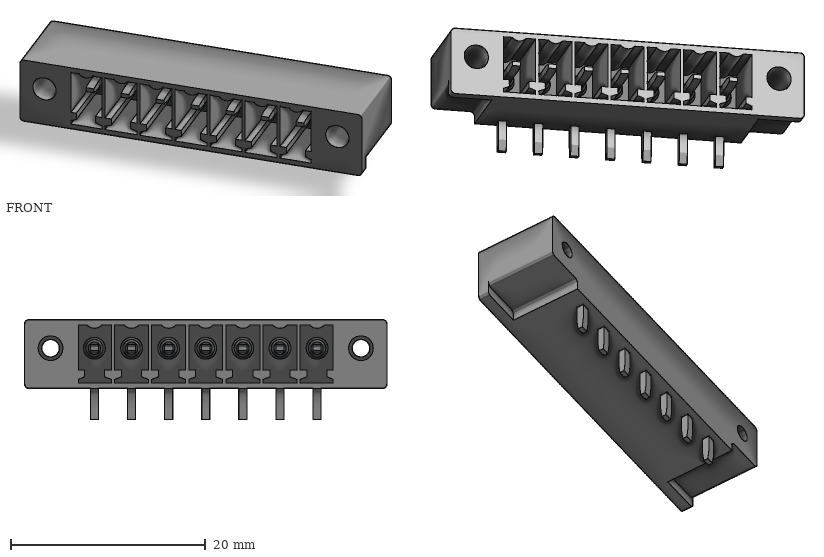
import cadquery as cq

length = 37.25
depth = 9.2
total_height = 10.3
housing_height = 7.08
corner_radius = 0.5

contact_count = 7
contact_span = 22.88
pitch = contact_span / (contact_count - 1)
contact_xs = [i * pitch - contact_span / 2 for i in range(contact_count)]
contact_z = 4.15

wall = 0.55
divider = 0.35
row_end_overhang = 1.65
row_half_length = contact_span / 2 + row_end_overhang
cavity_floor = wall
cavity_top = housing_height - wall
back_wall = 2.0
cavity_depth = depth - back_wall

rail_half_gap = 1.05
rail_top = 1.9
rail_edge_bottom = 1.2
rail_root_bottom = 0.95
bump_width = 1.5
bump_drop = 0.35

collar_base_radius = 1.1
collar_rim_radius = 0.9
collar_tip_radius = 0.65
collar_rim_height = 0.67
collar_height = 1.0

flange_thickness = 1.23
undercut_width = 4.6
undercut_height = 1.8
undercut_blend_height = 1.0
undercut_radius = undercut_blend_height / 2

hole_spacing = 31.9
hole_radius = 0.9
bore_radius = 1.25
bore_depth = cavity_depth

pin_width = 0.85
pin_thickness = 0.8
pin_front_gap = 1.25
pin_rear_gap = 0.8
pin_tip_thickness = 0.45
pin_tip_taper = 1.1
leg_length = total_height - housing_height
leg_tip_thickness = 0.52
leg_tip_taper = 1.15


def front_sketch(y, x=0, z=0):
    """Sketch plane parallel to the front face; extruding by a negative length goes toward +Y."""
    return cq.Workplane("XZ", origin=(x, y, z))


def make_block():
    """Plain housing block with its four long-side corners rounded."""
    return (
        front_sketch(0, 0, housing_height / 2)
        .rect(length, housing_height)
        .extrude(-depth)
        .edges("|Y")
        .fillet(corner_radius)
    )


def make_left_undercut():
    """Recess under the left end behind the flange, with a rounded edge and inner corner."""
    left = -length / 2
    inner = left + undercut_width
    shelf = undercut_height - undercut_radius
    return (
        front_sketch(flange_thickness)
        .moveTo(left, 0)
        .lineTo(left, undercut_height)
        .radiusArc((left + undercut_radius, shelf), -undercut_radius)
        .lineTo(inner - undercut_radius, shelf)
        .radiusArc((inner, shelf - undercut_radius), undercut_radius)
        .lineTo(inner, 0)
        .close()
        .extrude(flange_thickness - depth)
    )


def make_cavity(x):
    """Open pocket for the contact at x, narrowed by two rails and a bump in the ceiling."""
    half_width = (pitch - divider) / 2
    left = max(x - half_width, -row_half_length)
    right = min(x + half_width, row_half_length)
    rail_left = x - rail_half_gap
    rail_right = x + rail_half_gap
    return (
        front_sketch(0)
        .moveTo(left, cavity_floor)
        .lineTo(right, cavity_floor)
        .lineTo(right, rail_root_bottom)
        .lineTo(rail_right, rail_edge_bottom)
        .lineTo(rail_right, rail_top)
        .lineTo(right, rail_top)
        .lineTo(right, cavity_top)
        .lineTo(x + bump_width / 2, cavity_top)
        .threePointArc((x, cavity_top - bump_drop), (x - bump_width / 2, cavity_top))
        .lineTo(left, cavity_top)
        .lineTo(left, rail_top)
        .lineTo(rail_left, rail_top)
        .lineTo(rail_left, rail_edge_bottom)
        .lineTo(left, rail_root_bottom)
        .close()
        .extrude(-cavity_depth)
    )


def make_collar(x):
    """Two-stage cone standing forward from the back wall around the contact at x."""
    rim_y = cavity_depth - collar_rim_height
    tip_y = cavity_depth - collar_height
    return (
        cq.Workplane("XY", origin=(x, 0, contact_z))
        .moveTo(0, cavity_depth)
        .lineTo(collar_base_radius, cavity_depth)
        .lineTo(collar_rim_radius, rim_y)
        .lineTo(collar_tip_radius, tip_y)
        .lineTo(0, tip_y)
        .close()
        .revolve(360, (0, 0), (0, 1))
    )


def make_mounting_hole(x):
    """Wide bore from the front that steps down to a narrower through hole."""
    through_hole = front_sketch(0, x, contact_z).circle(hole_radius).extrude(-depth)
    bore = front_sketch(0, x, contact_z).circle(bore_radius).extrude(-bore_depth)
    return through_hole.union(bore)


def make_pin(x):
    """Right-angle contact pin at x: a forward blade and a downward leg, both with tapered tips."""
    rear = depth - pin_rear_gap
    leg_front = rear - pin_thickness
    leg_middle = rear - pin_thickness / 2
    blade_bottom = contact_z - pin_thickness / 2
    blade_top = contact_z + pin_thickness / 2
    blade_taper_end = pin_front_gap + pin_tip_taper
    leg_taper_end = leg_tip_taper - leg_length
    return (
        cq.Workplane("YZ", origin=(x - pin_width / 2, 0, 0))
        .moveTo(pin_front_gap, contact_z - pin_tip_thickness / 2)
        .lineTo(blade_taper_end, blade_bottom)
        .lineTo(leg_front, blade_bottom)
        .lineTo(leg_front, leg_taper_end)
        .lineTo(leg_middle - leg_tip_thickness / 2, -leg_length)
        .lineTo(leg_middle + leg_tip_thickness / 2, -leg_length)
        .lineTo(rear, leg_taper_end)
        .lineTo(rear, blade_top)
        .lineTo(blade_taper_end, blade_top)
        .lineTo(pin_front_gap, contact_z + pin_tip_thickness / 2)
        .close()
        .extrude(pin_width)
    )


def make_housing(pins):
    """Housing with its cavities and holes, and a matching channel for every pin."""
    undercut = make_left_undercut()
    body = make_block().cut(undercut).cut(undercut.mirror("YZ"))
    for x in contact_xs:
        body = body.cut(make_cavity(x)).union(make_collar(x))
    for x in (-hole_spacing / 2, hole_spacing / 2):
        body = body.cut(make_mounting_hole(x))
    for pin in pins:
        body = body.cut(pin)
    return body


contact_pins = [make_pin(x) for x in contact_xs]
housing = make_housing(contact_pins)

result = cq.Compound.makeCompound([housing.solids().val(), *[pin.val() for pin in contact_pins]])